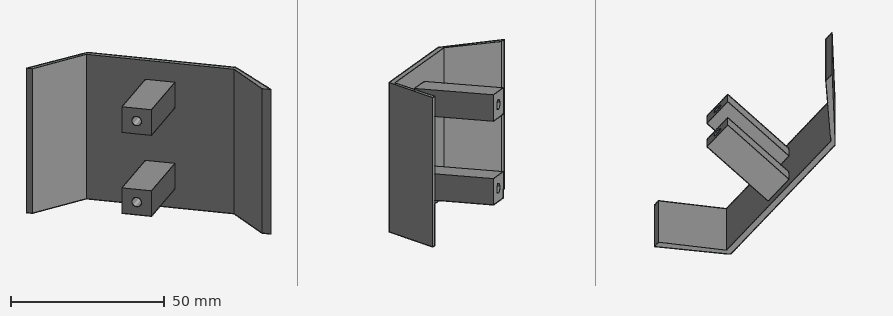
import cadquery as cq

overall_width = 82.0
height = 50.0
wall_width = 50.0
wall_thickness = 2.0

left_wing_reach = 15.0
left_wing_depth = 20.0
left_tip_width = 2.05
bevel_width = 0.7
bevel_depth = 0.8

right_wing_reach = overall_width - wall_width - left_wing_reach
right_wing_depth = 17.0
right_tip_width = 3.1

overall_depth = 29.0
post_width = 10.0
post_height = 8.85
post_spacing = 28.05
hole_diameter = 3.2

wall_edge = wall_width / 2
left_tip = -wall_edge - left_wing_reach
right_tip = wall_edge + right_wing_reach


def bent_plate():
    """Back wall with two splayed wings; the left outer bend is bevelled."""
    profile = [
        (-wall_edge, 0),
        (wall_edge, 0),
        (right_tip, -right_wing_depth),
        (right_tip - right_tip_width, -right_wing_depth),
        (wall_edge, -wall_thickness),
        (-wall_edge, -wall_thickness),
        (left_tip + left_tip_width, -left_wing_depth),
        (left_tip, -left_wing_depth),
        (-wall_edge - bevel_width, -bevel_depth),
    ]
    return cq.Workplane("XY").polyline(profile).close().extrude(height / 2, both=True)


def from_rear_face():
    """Workplane on the rear face, its normal pointing along the posts (-Y)."""
    return cq.Workplane("XZ")


post_centers = [(0, -post_spacing / 2), (0, post_spacing / 2)]

posts = from_rear_face().pushPoints(post_centers).rect(post_width, post_height).extrude(overall_depth)

holes = from_rear_face().pushPoints(post_centers).circle(hole_diameter / 2).extrude(overall_depth)

result = bent_plate().union(posts).cut(holes)